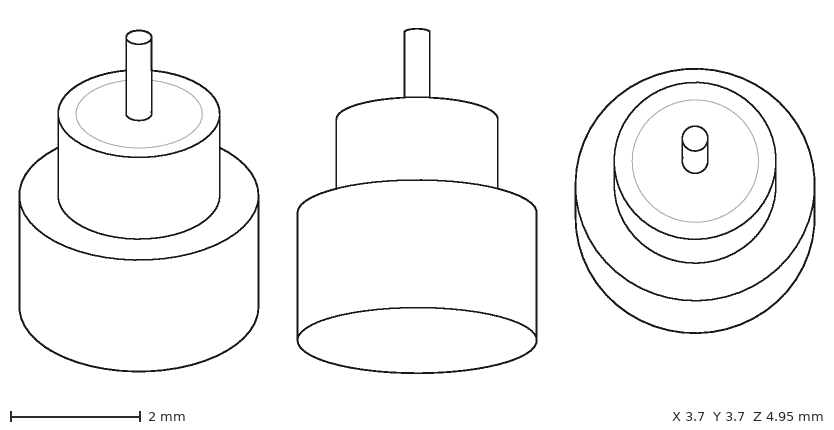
import cadquery as cq

total_height = 4.95
base_diameter = 3.7
base_height = 2.05
collar_diameter = 2.5
collar_height = 1.5
core_diameter = 1.95
pin_diameter = 0.395

base_radius = base_diameter / 2
collar_radius = collar_diameter / 2
core_radius = core_diameter / 2
pin_radius = pin_diameter / 2
collar_top = base_height + collar_height

half_section = (
    cq.Workplane("XZ")
    .moveTo(0, 0)
    .lineTo(base_radius, 0)
    .lineTo(base_radius, base_height)
    .lineTo(collar_radius, base_height)
    .lineTo(collar_radius, collar_top)
    .lineTo(core_radius, collar_top)
    .lineTo(pin_radius, collar_top)
    .lineTo(pin_radius, total_height)
    .lineTo(0, total_height)
    .close()
)

result = half_section.revolve(360, (0, 0, 0), (0, 1, 0), clean=False)